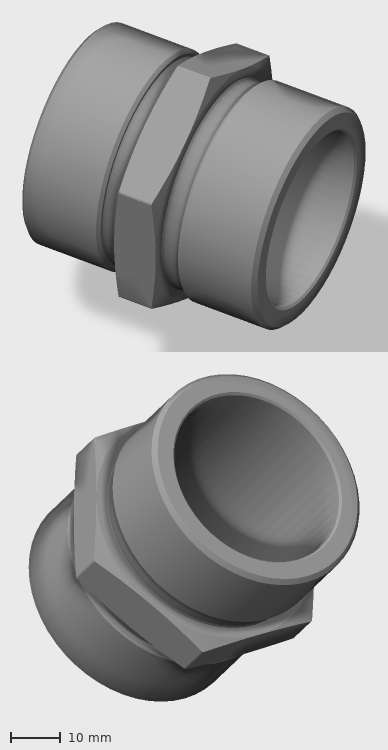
import cadquery as cq
import math

length = 54.0
bore_diameter = 37.8
bore_mouth_diameter = 38.75
bore_chamfer = 0.45

barrel_diameter = 47.8
end_chamfer = 0.9
inner_chamfer = 0.7
neck_diameter = 45.0
neck_length = 4.1
neck_flare_length = 0.45
neck_flare_height = 0.25

hexagon_width = 9.55
across_flats = 50.1
across_corners = 57.65
corner_chamfer_angle = 15.0

end_x = length / 2
face_x = hexagon_width / 2
bore_radius = bore_diameter / 2
mouth_radius = bore_mouth_diameter / 2
barrel_radius = barrel_diameter / 2
neck_radius = neck_diameter / 2
flat_radius = across_flats / 2
corner_radius = across_corners / 2


def mirrored_about_middle(profile):
    """Complete an (x, radius) half profile with its mirror image across x = 0."""
    return [(-x, radius) for x, radius in reversed(profile)] + profile


def revolve_about_x(points):
    return cq.Workplane("XY").polyline(points).close().revolve(360, (0, 0, 0), (1, 0, 0))


def make_body():
    barrel_start = face_x + neck_length
    outline = [
        (face_x, neck_radius + neck_flare_height),
        (face_x + neck_flare_length, neck_radius),
        (barrel_start, neck_radius),
        (barrel_start, barrel_radius - inner_chamfer),
        (barrel_start + inner_chamfer, barrel_radius),
        (end_x - end_chamfer, barrel_radius),
        (end_x, barrel_radius - end_chamfer),
        (end_x, 0),
    ]
    return revolve_about_x(mirrored_about_middle(outline))


def make_hexagon():
    prism = (
        cq.Workplane("YZ")
        .polygon(6, across_flats, circumscribed=True)
        .extrude(face_x, both=True)
    )
    chamfer_depth = (corner_radius - flat_radius) * math.tan(math.radians(corner_chamfer_angle))
    envelope = [
        (face_x - chamfer_depth, corner_radius),
        (face_x, flat_radius),
        (face_x, 0),
    ]
    return prism.intersect(revolve_about_x(mirrored_about_middle(envelope)))


def make_bore():
    outline = [
        (end_x - bore_chamfer, bore_radius),
        (end_x, mouth_radius),
        (end_x, 0),
    ]
    return revolve_about_x(mirrored_about_middle(outline))


result = make_body().union(make_hexagon()).cut(make_bore())